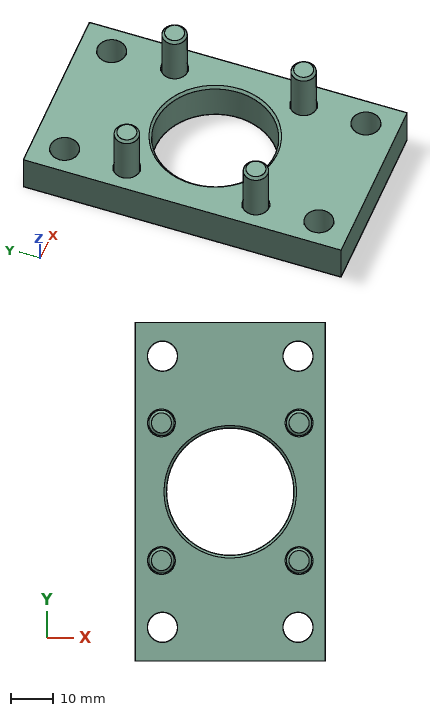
import cadquery as cq

plate_width = 45.0
plate_length = 80.0
plate_thickness = 10.0

bore_diameter = 30.0
bore_chamfer = 0.6

mounting_hole_diameter = 7.0
mounting_spacing_x = 32.0
mounting_spacing_y = 64.0

pin_diameter = 6.0
pin_length = 16.0
pin_tip_chamfer = 0.6
pin_spacing = 32.5
pin_hole_diameter = 6.6
overall_height = 23.0
pin_seat_height = overall_height - pin_length
pin_hole_depth = plate_thickness - pin_seat_height


def rectangle_corners(spacing_x, spacing_y):
    """Corner points of a rectangle centred on the Z axis."""
    return [
        (side_x * spacing_x / 2, side_y * spacing_y / 2)
        for side_x in (-1, 1)
        for side_y in (-1, 1)
    ]


mounting_positions = rectangle_corners(mounting_spacing_x, mounting_spacing_y)
pin_positions = rectangle_corners(pin_spacing, pin_spacing)


def make_plate():
    """Rectangular plate with its underside at Z = 0."""
    plate = cq.Workplane("XY").box(
        plate_width, plate_length, plate_thickness, centered=(True, True, False)
    )
    plate = plate.faces(">Z").workplane().hole(bore_diameter)
    plate = plate.faces(">Z").edges("%CIRCLE").chamfer(bore_chamfer)

    top_plane = plate.faces(">Z").workplane(origin=(0, 0, plate_thickness))
    plate = top_plane.pushPoints(mounting_positions).hole(mounting_hole_diameter)
    top_plane = plate.faces(">Z").workplane(origin=(0, 0, plate_thickness))
    return top_plane.pushPoints(pin_positions).hole(pin_hole_diameter, pin_hole_depth)


def make_pin(position):
    """Round pin with a chamfered tip, resting on the floor of its hole."""
    pin = cq.Workplane("XY").circle(pin_diameter / 2).extrude(pin_length)
    pin = pin.faces(">Z").chamfer(pin_tip_chamfer)
    return pin.translate((*position, pin_seat_height))


plate = make_plate().solids()
pins = [make_pin(position).solids() for position in pin_positions]

result = cq.Compound.makeCompound([plate.val(), *[pin.val() for pin in pins]])